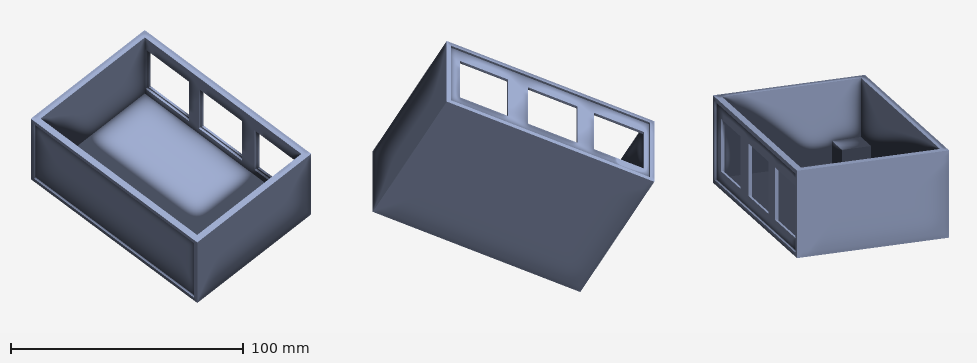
import cadquery as cq

length = 100.0
width = 70.0
height = 40.0
wall = 3.0

panel_border = 2.0
panel_depth = 1.0

window_widths_by_right_edge = {29.5: 26.0, 61.4: 26.0, 94.0: 25.0}
window_bottom = 6.5
window_height = 26.0
step_depth = 1.0
step_ledge = 1.0

block_length = 12.0
block_width = 13.4
block_height = 10.0


def box_at(x, y, z, size_x, size_y, size_z):
    """Box with its lowest corner at the given point."""
    return cq.Workplane("XY").box(size_x, size_y, size_z, centered=False).translate((x, y, z))


def stepped_window(left, opening_width):
    """Window cutter: full size on the inside, narrowed by a ledge all round on the outside."""
    inner = box_at(left, width - wall, window_bottom, opening_width, step_depth, window_height)
    outer = box_at(
        left + step_ledge,
        width - wall,
        window_bottom + step_ledge,
        opening_width - 2 * step_ledge,
        wall,
        window_height - 2 * step_ledge,
    )
    return inner.union(outer)


body = box_at(0, 0, 0, length, width, height)
body = body.cut(box_at(wall, wall, wall, length - 2 * wall, width - 2 * wall, height - wall))

panel_length = length - 2 * panel_border
panel_height = height - 2 * panel_border
for recess_y in (0, width - panel_depth):
    body = body.cut(box_at(panel_border, recess_y, panel_border, panel_length, panel_depth, panel_height))

for right_edge, opening_width in window_widths_by_right_edge.items():
    body = body.cut(stepped_window(right_edge - opening_width, opening_width))

block = box_at(length - wall - block_length, wall, wall, block_length, block_width, block_height)
result = body.union(block)